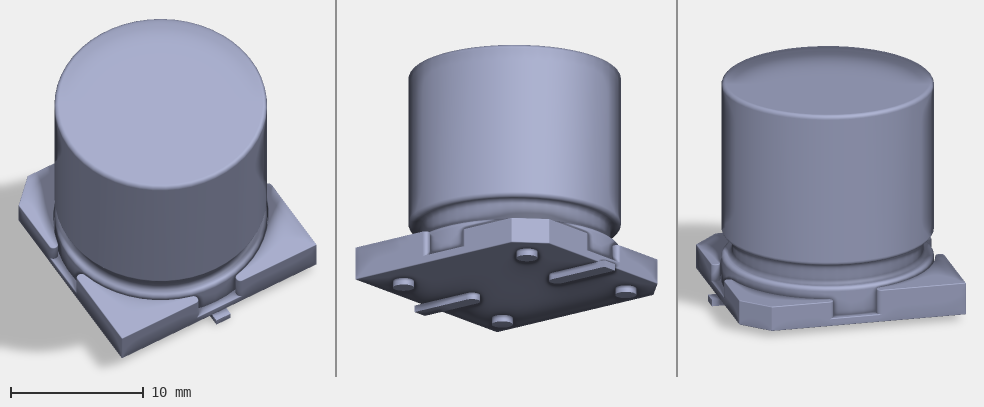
import cadquery as cq
import math

total_length = 18.3
total_height = 17.0

base_width = 17.1
corner_chamfer = 2.01
edge_round = 0.064
base_bottom = 0.51
slab_top = 1.12
low_post_top = 2.45
high_post_top = 3.04
post_gap = 3.4
post_tip_round = 0.33
post_clearance = 0.1

can_diameter = 16.0
neck_diameter = 14.4
can_round = 0.31
groove_bottom = 3.31
groove_top = 5.01

foot_diameter = 1.6
foot_offset = 5.95

terminal_width = 1.25
terminal_inner_end = 3.5

can_radius = can_diameter / 2
neck_radius = neck_diameter / 2
half_base = base_width / 2


def base_block(bottom, top):
    """Base outline between two heights, with the -X corners cut."""
    block = cq.Workplane("XY", origin=(0, 0, bottom)).rect(base_width, base_width).extrude(top - bottom)
    return block.edges("|Z and <X").chamfer(corner_chamfer)


def base_slab():
    """Thin plate under the posts, rounded on all its edges."""
    return base_block(base_bottom, slab_top).edges().fillet(edge_round)


def corner_post(x_side, y_side, top):
    """Corner of the base hugging the can, with rounded tips at both gaps."""
    root = (base_bottom + slab_top) / 2
    centre = (post_gap + base_width) / 2
    quadrant = (
        cq.Workplane("XY", origin=(0, 0, root))
        .center(x_side * centre, y_side * centre)
        .rect(base_width, base_width)
        .extrude(top - root)
    )
    bore = cq.Workplane("XY", origin=(0, 0, root)).circle(can_radius + post_clearance).extrude(top - root)
    post = base_block(root, top).intersect(quadrant).cut(bore)

    tip_reach = post_gap / 2 + post_tip_round
    across_x = cq.selectors.BoxSelector(
        (-tip_reach, -base_width, 0), (tip_reach, base_width, total_height)
    )
    across_y = cq.selectors.BoxSelector(
        (-base_width, -tip_reach, 0), (base_width, tip_reach, total_height)
    )
    post = post.edges("|Z").edges(across_x + across_y).fillet(post_tip_round)

    outer_corner = cq.selectors.BoxSelector(
        (x_side * half_base / 2, y_side * half_base / 2, 0),
        (x_side * base_width, y_side * base_width, total_height),
    )
    post = post.edges("|Z").edges(outer_corner).fillet(edge_round)
    return post.faces(">Z").edges().fillet(edge_round)


def can():
    """Round can turned about Z, with a groove near its lower end."""
    shoulder = can_radius - can_round
    neck_edge = neck_radius + can_round
    mid = can_round * math.sqrt(0.5)
    lower_end = groove_bottom - can_round
    upper_end = groove_top + can_round
    top_edge = total_height - can_round
    profile = (
        cq.Workplane("XZ")
        .moveTo(0, base_bottom + edge_round)
        .lineTo(can_radius, base_bottom + edge_round)
        .lineTo(can_radius, lower_end)
        .threePointArc((shoulder + mid, lower_end + mid), (shoulder, groove_bottom))
        .lineTo(neck_edge, groove_bottom)
        .threePointArc(
            (neck_edge - mid, groove_bottom + can_round - mid),
            (neck_radius, groove_bottom + can_round),
        )
        .lineTo(neck_radius, groove_top - can_round)
        .threePointArc((neck_edge - mid, groove_top - can_round + mid), (neck_edge, groove_top))
        .lineTo(shoulder, groove_top)
        .threePointArc((shoulder + mid, upper_end - mid), (can_radius, upper_end))
        .lineTo(can_radius, top_edge)
        .threePointArc((shoulder + mid, top_edge + mid), (shoulder, total_height))
        .lineTo(0, total_height)
        .close()
    )
    return profile.revolve(360, (0, 0, 0), (0, 1, 0))


def terminal(x_side):
    """Flat contact strip with a round inner end."""
    half_width = terminal_width / 2
    arc_start = x_side * (terminal_inner_end + half_width)
    outer_end = x_side * total_length / 2
    return (
        cq.Workplane("XY")
        .moveTo(outer_end, -half_width)
        .lineTo(arc_start, -half_width)
        .threePointArc((x_side * terminal_inner_end, 0), (arc_start, half_width))
        .lineTo(outer_end, half_width)
        .close()
        .extrude(base_bottom)
    )


feet = (
    cq.Workplane("XY")
    .rect(2 * foot_offset, 2 * foot_offset, forConstruction=True)
    .vertices()
    .circle(foot_diameter / 2)
    .extrude(base_bottom)
)

result = base_slab().union(can())
for x_side, post_top in ((-1, low_post_top), (1, high_post_top)):
    for y_side in (-1, 1):
        result = result.union(corner_post(x_side, y_side, post_top))
    result = result.union(terminal(x_side))
result = result.union(feet)